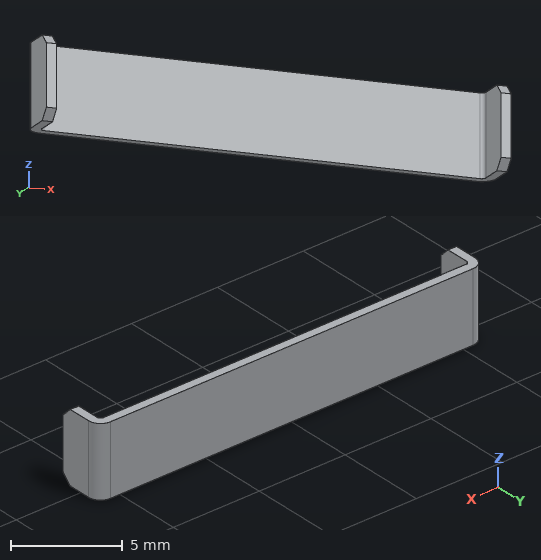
import cadquery as cq

length = 22.5
leg_depth = 2.5
height = 4.0
thickness = 0.5
inner_radius = 0.2
corner_chamfer = 0.5

outer_radius = inner_radius + thickness
back_y = leg_depth / 2
leg_tip_y = -leg_depth / 2


def rounded_block(width, front_y, rear_y, radius):
    """Full-height block whose two rear vertical edges are rounded."""
    depth = rear_y - front_y
    return (
        cq.Workplane("XY")
        .box(width, depth, height)
        .translate((0, (front_y + rear_y) / 2, 0))
        .edges("|Z and >Y")
        .fillet(radius)
    )


def bent_strip():
    """U-shaped sheet strip, open toward -Y."""
    outside = rounded_block(length, leg_tip_y, back_y, outer_radius)
    inside = rounded_block(length - 2 * thickness, leg_tip_y, back_y - thickness, inner_radius)
    return outside.cut(inside)


def chamfer_leg_corners(strip):
    """Cut the top and bottom corners at the free end of both legs."""
    return strip.faces("<Y").edges("|X").chamfer(corner_chamfer)


result = chamfer_leg_corners(bent_strip())